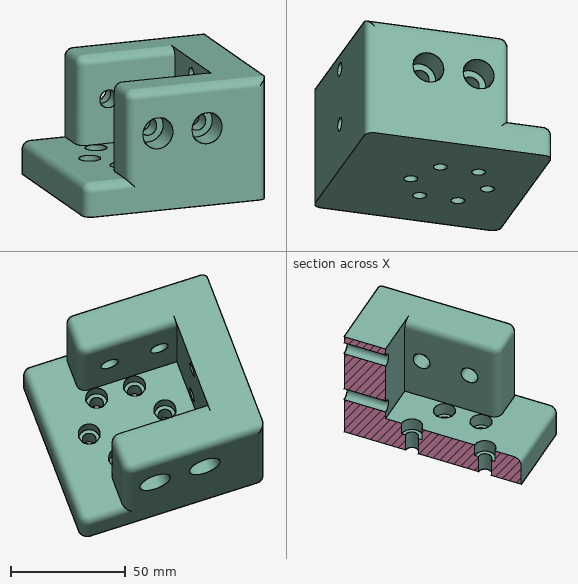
import cadquery as cq
import math

width = 80.0
depth = 85.0
height = 55.0

base_height = 15.0
front_step = 20.0
back_wall = 20.0
slot_width = 40.0
edge_radius = 4.0

front_y = -depth / 2
back_y = depth / 2
wall_front_y = front_y + front_step
slot_back_y = back_y - back_wall
side_wall = (width - slot_width) / 2

floor_hole_diameter = 6.0
floor_bore_diameter = 9.5
floor_bore_depth = 6.0
floor_hole_count = 6
bolt_circle_radius = 17.5
bolt_circle_y = -7.5

side_hole_diameter = 8.0
side_bore_diameter = 14.0
side_bore_depth = 12.0
side_hole_z = 35.0
side_hole_spacing = 22.95
side_hole_mid_y = 3.0

back_hole_diameter = 6.0
back_hole_heights = (21.8, 48.2)

tolerance = 0.1


def block(x_size, y_min, y_max, z_min, z_max):
    """Box centred on X = 0 between the given Y and Z limits."""
    box = cq.Workplane("XY").box(x_size, y_max - y_min, z_max - z_min, centered=(True, False, False))
    return box.translate((0, y_min, z_min))


def rod(diameter, start, direction, length):
    """Cylinder used to cut a hole or counterbore."""
    solid = cq.Solid.makeCylinder(diameter / 2, length, cq.Vector(*start), cq.Vector(*direction))
    return cq.Workplane(solid)


def is_rounded(edge):
    """Select outer and slot edges, leaving the underside, back and inner corners sharp."""
    box = edge.BoundingBox()
    x = abs(edge.Center().x)
    on_outer_side = abs(x - width / 2) < tolerance
    on_slot_side = abs(x - slot_width / 2) < tolerance
    if box.zmax < tolerance:
        return False
    if box.xlen > tolerance:
        on_step_front = box.ymax < front_y + tolerance
        on_wall_top_front = box.zmin > height - tolerance and box.ymax < wall_front_y + tolerance
        return on_step_front or on_wall_top_front
    if on_outer_side:
        return True
    on_top = box.zmin > height - tolerance
    on_wall_front = box.ymax < wall_front_y + tolerance
    return on_slot_side and (on_top or on_wall_front)


def make_body():
    """Base plate carrying a U-shaped wall, with rounded edges."""
    base = block(width, front_y, back_y, 0, base_height)
    wall = block(width, wall_front_y, back_y, base_height, height)
    slot = block(slot_width, wall_front_y, slot_back_y, base_height, height)
    body = base.union(wall.cut(slot)).clean()
    edges = [edge for edge in body.edges().vals() if is_rounded(edge)]
    return body.newObject(edges).fillet(edge_radius)


def cut_floor_holes(body):
    for index in range(floor_hole_count):
        angle = math.radians(90 + index * 360 / floor_hole_count)
        x = bolt_circle_radius * math.cos(angle)
        y = bolt_circle_y + bolt_circle_radius * math.sin(angle)
        body = body.cut(rod(floor_hole_diameter, (x, y, 0), (0, 0, 1), base_height))
        body = body.cut(rod(floor_bore_diameter, (x, y, base_height), (0, 0, -1), floor_bore_depth))
    return body


def cut_side_holes(body):
    for offset in (-side_hole_spacing / 2, side_hole_spacing / 2):
        y = side_hole_mid_y + offset
        for side in (-1, 1):
            start = (side * width / 2, y, side_hole_z)
            inward = (-side, 0, 0)
            body = body.cut(rod(side_hole_diameter, start, inward, side_wall))
            body = body.cut(rod(side_bore_diameter, start, inward, side_bore_depth))
    return body


def cut_back_holes(body):
    for z in back_hole_heights:
        body = body.cut(rod(back_hole_diameter, (0, back_y, z), (0, -1, 0), back_wall))
    return body


result = cut_back_holes(cut_side_holes(cut_floor_holes(make_body())))